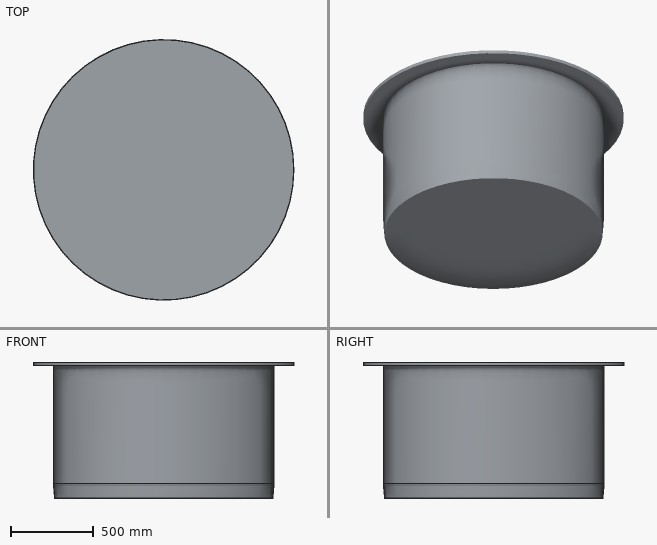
import cadquery as cq

total_height = 820.0
plate_diameter = 1570.0
plate_thickness = 20.0
drum_diameter = 1330.0
base_height = 90.0
base_band_height = 10.0
base_bottom_diameter = 1315.0

plate_underside = total_height - plate_thickness
taper_height = base_height - base_band_height


def make_drum():
    """Straight drum with a wide round plate closing its top."""
    drum_height = plate_underside - base_height
    drum = cq.Workplane("XY", origin=(0, 0, base_height)).circle(drum_diameter / 2).extrude(drum_height)
    plate = (
        cq.Workplane("XY", origin=(0, 0, plate_underside))
        .circle(plate_diameter / 2)
        .extrude(plate_thickness)
    )
    return drum.union(plate)


def make_base():
    """Base below the drum: a short straight band, then a slight taper to the underside."""
    half_profile = [
        (0, 0),
        (base_bottom_diameter / 2, 0),
        (drum_diameter / 2, taper_height),
        (drum_diameter / 2, base_height),
        (0, base_height),
    ]
    return cq.Workplane("XZ").polyline(half_profile).close().revolve(360, (0, 0, 0), (0, 1, 0))


drum = make_drum()
base = make_base()
result = cq.Compound.makeCompound([drum.val(), base.val()])